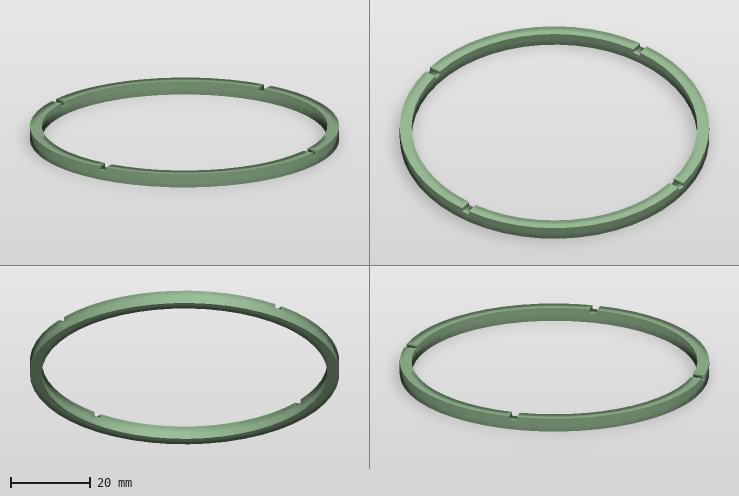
import cadquery as cq

outer_diameter = 78.0
inner_diameter = 72.0
height = 3.5

notch_width = 2.0
notch_depth = 1.0

ring = (
    cq.Workplane("XY")
    .circle(outer_diameter / 2)
    .circle(inner_diameter / 2)
    .extrude(height)
)


def notch_bar(angle):
    """Bar through the ring axis that cuts two opposite notches."""
    return (
        cq.Workplane("XY")
        .workplane(offset=height - notch_depth)
        .rect(outer_diameter, notch_width)
        .extrude(notch_depth)
        .rotate((0, 0, 0), (0, 0, 1), angle)
    )


result = ring
for bar_angle in (0, 90):
    result = result.cut(notch_bar(bar_angle))